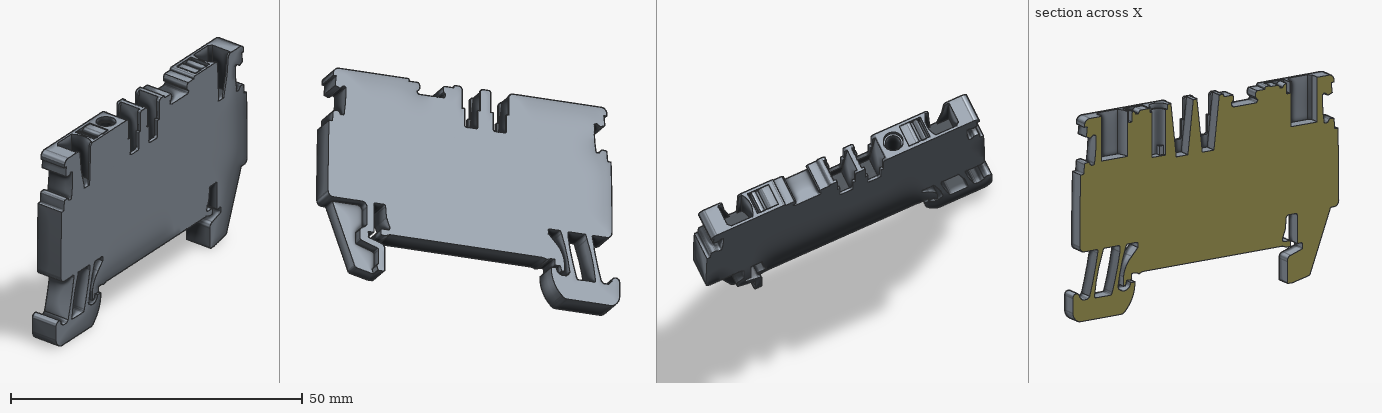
import cadquery as cq
import math

WIDTH = 5.1
WALL = 0.48
HALF_LENGTH = 26.4
TOP_Z = 36.15
BODY_BOTTOM_Z = 12.38
RAIL_Z = 6.97

CLAW_END_Y = 27.84
CLAW_TOP_Z = 5.21
CLAW_RADIUS = 0.745

SHELF_DEPTH = 0.46
SHELF_Z = TOP_Z - SHELF_DEPTH
GROOVE_FLOOR_Z = 33.55

SHAFT_PITCH = 5.3
SHAFT_PLUS_Y = -0.24
SHAFT_MINUS_Y = SHAFT_PLUS_Y - SHAFT_PITCH
SHAFT_STEP_Z = 32.2
SHAFT_FLOOR_Z = 28.77
SHAFT_HALF_LOWER = 1.22
SHAFT_STEP = 0.48
SHAFT_STEP_RADIUS = 0.15
SHAFT_FLOOR_RADIUS = 0.4
PILLAR_RADIUS = 0.4
SHOULDER_RADIUS = 0.65
CHAMBER_X = (WALL, 4.46)
CHAMBER_HALF_TOP = 2.23
CHAMBER_HALF_FLOOR = 1.14
CHAMBER_SINK = 2.3
CHAMBER_FLOOR_Z = SHAFT_FLOOR_Z - CHAMBER_SINK

ENTRY_X = (WALL, 4.77)
ENTRY_OUTER_Y = 21.93
ENTRY_SHOULDER_Y = 17.4
ENTRY_INNER_Y = 16.7
ENTRY_CORNER = 0.55
ENTRY_DEPTH = 8.0

PUSHER_X = (0.62, 4.58)
PUSHER_Y = (12.4, 16.38)
PUSHER_DEPTH = 2.0
PLATEAU_DEPTH = 0.15
GRIP_GROOVE_DEPTH = 0.6
PUSHER_GAP = 0.55

SCREW_X = WIDTH / 2
SCREW_Y = -10.29
HEAD_RADIUS = 1.7
HEAD_DEPTH = 0.9
BORE_RADIUS = 1.35
BORE_DEPTH = 9.0
POST_HEIGHT = 1.6
CROSS_HALF_WIDTH = 0.42

WEB_RECESS = 2.1

ARC = "arc"


def corner_arc(before, corner, after, radius):
    """Start, middle and end of the arc that rounds one corner."""
    to_before = (cq.Vector(*before) - cq.Vector(*corner)).normalized()
    to_after = (cq.Vector(*after) - cq.Vector(*corner)).normalized()
    half_angle = to_before.getAngle(to_after) / 2
    setback = radius / math.tan(half_angle)
    bisector = (to_before + to_after).normalized()
    vertex = cq.Vector(*corner)
    middle = vertex + bisector * (radius / math.sin(half_angle) - radius)
    return vertex + to_before * setback, middle, vertex + to_after * setback


def prism(path, x_start, x_end):
    """Extrude a closed YZ outline along X.

    Items of the path are corners (y, z), rounded corners (y, z, radius), and points
    (y, z, ARC) that lie on the arc between their two neighbours. The first is a plain corner.
    """
    sketch = cq.Workplane("YZ").workplane(offset=x_start).moveTo(*path[0])
    arc_point = None
    for index in range(1, len(path) + 1):
        item = path[index % len(path)]
        point = item[:2]
        shape = item[2] if len(item) > 2 else None
        if shape == ARC:
            arc_point = point
        elif arc_point:
            sketch = sketch.threePointArc(arc_point, point)
            arc_point = None
        elif shape:
            following = path[(index + 1) % len(path)][:2]
            start, middle, end = corner_arc(path[index - 1][:2], point, following, shape)
            sketch = sketch.lineTo(start.x, start.y)
            sketch = sketch.threePointArc((middle.x, middle.y), (end.x, end.y))
        elif index < len(path):
            sketch = sketch.lineTo(*point)
    return sketch.close().extrude(x_end - x_start)


def block(x_range, y_range, z_range):
    size = [high - low for low, high in (x_range, y_range, z_range)]
    corner = (x_range[0], y_range[0], z_range[0])
    return cq.Workplane().box(*size, centered=False).translate(corner)


def both_ends(feature):
    """The feature together with its mirror image about Y = 0."""
    return feature.union(feature.mirror("XZ"))


def end_profile():
    """End of the housing at +Y, from the top down to the underside."""
    return [
        (24.35, TOP_Z),
        (25.05, 35.9, ARC),
        (25.42, 35.3),
        (25.42, 34.67),
        (24.9, 34.67),
        (25.09, 32.87),
        (24.2, 32.5, 0.2),
        (23.5, 33.05, 0.2),
        (23.12, 32.8),
        (23.15, 30.5, ARC),
        (23.42, 28.0),
        (23.48, 27.7, 0.1),
        (24.05, 27.7, 0.15),
        (24.5, 28.35, 0.2),
        (25.45, 28.25, 0.25),
        (25.6, 26.36, 0.15),
        (26.24, 26.31),
        (26.38, 20.0, ARC),
        (HALF_LENGTH, BODY_BOTTOM_Z + 1.05),
        (HALF_LENGTH, BODY_BOTTOM_Z, 0.95),
    ]


def fixed_foot():
    """Rigid foot at +Y, then the rail edge up to the locating nose."""
    return [
        (24.75, BODY_BOTTOM_Z, 0.2),
        (20.5, 0.9, 0.7),
        (16.95, 0.11),
        (15.85, 0.11, 0.3),
        (15.85, 4.13),
        (16.0, 4.75, ARC),
        (16.54, 5.14),
        (18.95, 5.95, 0.15),
        (18.95, RAIL_Z, 0.15),
        (17.88, RAIL_Z, 0.1),
        (17.88, BODY_BOTTOM_Z, 0.3),
        (15.75, BODY_BOTTOM_Z, 0.4),
        (15.55, 10.0),
        (14.75, 7.8, 0.4),
        (16.6, 7.8, 0.25),
        (16.6, 6.67, 0.2),
        (15.7, 6.67, 0.3),
        (14.9, RAIL_Z),
    ]


def spring_foot():
    """Flexible foot at -Y, from the rail edge round the claw to the housing underside."""
    return [
        (-13.5, RAIL_Z),
        (-14.3, 6.72),
        (-15.05, RAIL_Z),
        (-15.78, RAIL_Z, 0.15),
        (-15.78, 5.9, 0.1),
        (-16.8, 5.9, 0.1),
        (-17.03, 5.0),
        (-17.52, 5.0),
        (-17.52, 6.72),
        (-16.95, 8.6, ARC),
        (-15.84, 10.1),
        (-14.57, 11.5),
        (-14.57, BODY_BOTTOM_Z, 0.25),
        (-16.75, BODY_BOTTOM_Z, 0.2),
        (-17.0, 11.9),
        (-17.97, 8.4, ARC),
        (-18.57, 5.0),
        (-17.5, 4.2, ARC),
        (-16.06, 5.5),
        (-15.1, 5.4),
        (-15.65, 2.6, ARC),
        (-17.07, 0.5),
        (-17.5, 0.13, ARC),
        (-18.1, 0),
        (-HALF_LENGTH, 0),
        (-27.38, 0.63, ARC),
        (-CLAW_END_Y, 1.8),
        (-CLAW_END_Y, CLAW_TOP_Z - CLAW_RADIUS),
        (CLAW_RADIUS - CLAW_END_Y, CLAW_TOP_Z, ARC),
        (2 * CLAW_RADIUS - CLAW_END_Y, CLAW_TOP_Z - CLAW_RADIUS),
        (-25.8, 3.86, 0.3),
        (-24.8, 3.86, 0.3),
        (-24.4, 4.3),
        (-23.6, 7.54, ARC),
        (-22.77, 11.8),
        (-22.75, BODY_BOTTOM_Z, 0.2),
    ]


def jumper_shaft_edge(centre, plus_radius, minus_radius):
    """Opening of one jumper shaft in the side walls, from -Y to +Y."""
    lower = SHAFT_HALF_LOWER
    upper = SHAFT_HALF_LOWER + SHAFT_STEP
    floor_radius = SHAFT_FLOOR_RADIUS
    return [
        (centre - upper, TOP_Z, minus_radius),
        (centre - upper, SHAFT_STEP_Z),
        (centre - lower, SHAFT_STEP_Z, SHAFT_STEP_RADIUS),
        (centre - lower, SHAFT_FLOOR_Z, floor_radius),
        (centre + lower, SHAFT_FLOOR_Z, floor_radius),
        (centre + lower, SHAFT_STEP_Z, SHAFT_STEP_RADIUS),
        (centre + upper, SHAFT_STEP_Z),
        (centre + upper, TOP_Z, plus_radius),
    ]


def top_edge():
    """Top of the housing from -Y to +Y, with jumper shafts and marker groove."""
    marker_groove = [
        (2.98, TOP_Z, 0.25),
        (2.98, SHELF_Z, 0.2),
        (4.79, SHELF_Z),
        (5.0, 35.15, ARC),
        (4.9, 34.6),
        (4.6, 34.3),
        (4.6, GROOVE_FLOOR_Z, 0.45),
        (9.6, GROOVE_FLOOR_Z, 0.15),
        (9.85, 34.0),
        (9.4, 34.5),
        (9.36, 35.2, ARC),
        (9.65, SHELF_Z),
        (11.29, SHELF_Z),
        (11.29, TOP_Z, 0.35),
    ]
    minus_shaft = jumper_shaft_edge(SHAFT_MINUS_Y, PILLAR_RADIUS, SHOULDER_RADIUS)
    plus_shaft = jumper_shaft_edge(SHAFT_PLUS_Y, SHOULDER_RADIUS, PILLAR_RADIUS)
    return minus_shaft + plus_shaft + marker_groove


def housing():
    plus_end = end_profile()
    minus_end = [(-y, z, *shape) for y, z, *shape in reversed(plus_end)]
    path = plus_end + fixed_foot() + spring_foot() + minus_end + top_edge()
    return prism(path, 0, WIDTH)


def spring_window():
    """Opening between the two flexing arms of the spring foot."""
    path = [
        (-19.5, BODY_BOTTOM_Z),
        (-21.5, BODY_BOTTOM_Z, 0.15),
        (-21.75, 11.5),
        (-22.75, 7.9, ARC),
        (-23.3, 4.4),
        (-23.3, 3.86, 0.2),
        (-20.0, 3.86, 0.2),
        (-19.8, 4.3),
        (-18.85, 8.1, ARC),
        (-18.24, 11.3),
        (-18.24, BODY_BOTTOM_Z, 0.2),
    ]
    return prism(path, 0, WIDTH)


def web_recess():
    """Space beside the thinned web of the fixed foot, outside its full-width rib."""
    path = [
        (HALF_LENGTH, BODY_BOTTOM_Z),
        (20.23, BODY_BOTTOM_Z),
        (19.5, 12.1, ARC),
        (19.2, 11.4),
        (19.2, 8.15, 0.2),
        (20.45, 7.3, 0.3),
        (20.45, 5.25, 0.3),
        (17.03, 4.1, 0.3),
        (17.03, 1.4),
        (17.36, 1.0),
        (17.1, 0),
        (HALF_LENGTH, 0),
    ]
    return prism(path, 0, WEB_RECESS)


def jumper_chamber(centre):
    path = [
        (centre - CHAMBER_HALF_TOP, TOP_Z),
        (centre + CHAMBER_HALF_TOP, TOP_Z),
        (centre + CHAMBER_HALF_FLOOR, CHAMBER_FLOOR_Z),
        (centre - CHAMBER_HALF_FLOOR, CHAMBER_FLOOR_Z),
    ]
    return prism(path, *CHAMBER_X)


def wire_entry():
    """Wire funnel at +Y with the notch that opens it through the +X wall."""
    x_low, x_high = ENTRY_X
    floor_z = TOP_Z - ENTRY_DEPTH
    funnel = (
        cq.Workplane("XY", origin=(0, 0, floor_z))
        .moveTo(x_high, ENTRY_OUTER_Y)
        .lineTo(x_low + ENTRY_CORNER, ENTRY_OUTER_Y)
        .lineTo(x_low, ENTRY_OUTER_Y - ENTRY_CORNER)
        .lineTo(x_low, ENTRY_SHOULDER_Y)
        .threePointArc(((x_low + x_high) / 2, ENTRY_INNER_Y), (x_high, ENTRY_SHOULDER_Y))
        .close()
        .extrude(ENTRY_DEPTH)
    )
    notch = prism(
        [
            (17.4, TOP_Z),
            (21.7, TOP_Z),
            (21.25, TOP_Z - 0.2, ARC),
            (21.05, TOP_Z - 0.7),
            (20.7, TOP_Z - 4),
            (19.75, floor_z),
            (18.3, floor_z),
            (18.0, TOP_Z - 0.7),
            (17.85, TOP_Z - 0.2, ARC),
        ],
        (x_low + x_high) / 2,
        WIDTH,
    )
    return funnel.union(notch)


def pusher_space():
    """Space above the grooved spring pusher at +Y; the deep gap lies beside the wire entry."""
    y_low, y_high = PUSHER_Y
    gap_y = y_high - PUSHER_GAP
    plateau_z = TOP_Z - PLATEAU_DEPTH
    floor_z = TOP_Z - PUSHER_DEPTH
    groove_z = plateau_z - GRIP_GROOVE_DEPTH
    path = [
        (y_low, TOP_Z),
        (y_low, plateau_z),
        (13.8, plateau_z),
        (14.2, plateau_z - 0.15, ARC),
        (14.45, groove_z),
        (14.9, groove_z),
        (15.2, plateau_z - 0.15, ARC),
        (gap_y - 0.1, plateau_z),
        (gap_y, floor_z),
        (y_high, floor_z),
        (y_high, TOP_Z),
    ]
    return prism(path, *PUSHER_X)


def test_screw():
    """Stepped screw hole; two posts at its bottom leave three arms of the cross slot."""
    head_floor_z = TOP_Z - HEAD_DEPTH
    bore_floor_z = TOP_Z - BORE_DEPTH
    head = (
        cq.Workplane("XY", origin=(SCREW_X, SCREW_Y, head_floor_z))
        .circle(HEAD_RADIUS)
        .extrude(HEAD_DEPTH)
    )
    bore = (
        cq.Workplane("XY", origin=(SCREW_X, SCREW_Y, bore_floor_z))
        .circle(BORE_RADIUS)
        .extrude(BORE_DEPTH - HEAD_DEPTH)
    )
    post_y = (SCREW_Y + CROSS_HALF_WIDTH, SCREW_Y + BORE_RADIUS)
    post_z = (bore_floor_z, bore_floor_z + POST_HEIGHT)
    post_sides = (
        (SCREW_X - BORE_RADIUS, SCREW_X - CROSS_HALF_WIDTH),
        (SCREW_X + CROSS_HALF_WIDTH, SCREW_X + BORE_RADIUS),
    )
    for post_x in post_sides:
        bore = bore.cut(block(post_x, post_y, post_z))
    return head.union(bore)


result = housing().cut(spring_window()).cut(web_recess())
for shaft_centre in (SHAFT_PLUS_Y, SHAFT_MINUS_Y):
    result = result.cut(jumper_chamber(shaft_centre))
result = result.cut(both_ends(wire_entry()))
result = result.cut(both_ends(pusher_space()))
result = result.cut(test_screw())